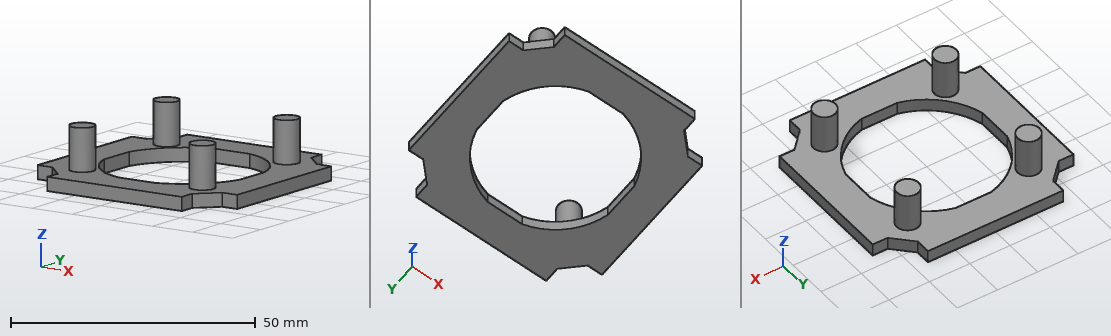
import cadquery as cq

plate_side = 49.8
plate_thickness = 3.0
total_height = 12.25

straight_edge_half = 16.8
notch_lip_depth = 3.7

opening_diameter = 35.0
opening_across_flats = 33.85

pin_diameter = 5.45
pin_spacing = 30.0


def corner_notch():
    """Cutter for the +X +Y corner: a square notch with its inner corner beveled."""
    outer = plate_side / 2
    lip_end = outer - notch_lip_depth
    return (
        cq.Workplane("XY")
        .moveTo(straight_edge_half, outer)
        .lineTo(straight_edge_half, lip_end)
        .lineTo(lip_end, straight_edge_half)
        .lineTo(outer, straight_edge_half)
        .lineTo(outer, outer)
        .close()
        .extrude(plate_thickness)
    )


def central_opening():
    """Cutter for the round opening with a flat facing each side of the plate."""
    circle = cq.Workplane("XY").circle(opening_diameter / 2).extrude(plate_thickness)
    square = (
        cq.Workplane("XY")
        .rect(opening_across_flats, opening_across_flats)
        .extrude(plate_thickness)
    )
    return circle.intersect(square)


def pins():
    """Four pins, rooted at the plate's underside so that they fuse with it."""
    return (
        cq.Workplane("XY")
        .rect(pin_spacing, pin_spacing, forConstruction=True)
        .vertices()
        .circle(pin_diameter / 2)
        .extrude(total_height)
    )


plate = cq.Workplane("XY").rect(plate_side, plate_side).extrude(plate_thickness)
for quarter_turn in range(4):
    plate = plate.cut(corner_notch().rotate((0, 0, 0), (0, 0, 1), 90 * quarter_turn))

result = plate.cut(central_opening()).union(pins())